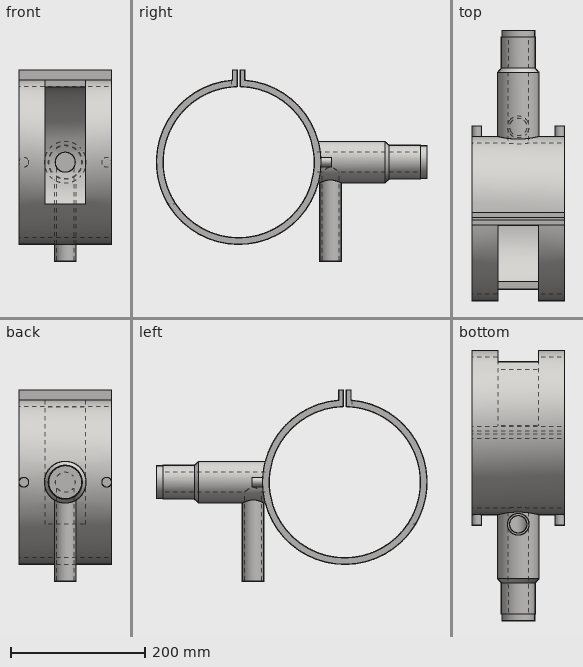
import cadquery as cq

band_width = 138.0
outer_radius = 122.5
wall = 10.0
inner_radius = outer_radius - wall

ear_top = 137.5
ear_thickness = 7.3
split_gap = 4.0
ear_outer_y = split_gap / 2 + ear_thickness

window_width = 59.7
window_bottom = -62.5
window_ledge = 1.2
window_start_y = -(ear_outer_y + window_ledge)

peg_diameter = 14.5
peg_end_y = 138.5
peg_x = (band_width - peg_diameter) / 2

overall_length = 403.5
nozzle_end_y = overall_length - outer_radius
nozzle_radius = 31.0
neck_radius = 25.5
neck_length = 56.5
cap_radius = 24.5
cap_length = 10.0
cap_start_y = nozzle_end_y - cap_length
taper_length = 6.5
port_radius = 15.0
branch_radius = 16.0
branch_bore_radius = 13.0
branch_y = 136.8
branch_bottom = -147.5


def x_cylinder(radius):
    """Cylinder about the X axis, as long as the band is wide."""
    cylinder = cq.Workplane("YZ").circle(radius).extrude(band_width / 2, both=True)
    return cylinder.rotate((0, 0, 0), (1, 0, 0), 90)


def y_cylinder(radius, end_y, x=0):
    """Cylinder running along Y from the band axis to end_y."""
    return cq.Workplane("XZ").center(x, 0).circle(radius).extrude(-end_y)


def branch_cylinder(radius):
    """Vertical cylinder from the foot of the branch up to the nozzle axis."""
    foot = cq.Workplane("XY", origin=(0, branch_y, branch_bottom))
    return foot.circle(radius).extrude(-branch_bottom)


def make_band():
    """Split band with its ears, pegs and window, before the port is bored."""
    ears = cq.Workplane("XY").box(
        band_width, 2 * ear_outer_y, ear_top, centered=(True, True, False)
    )
    body = x_cylinder(outer_radius).union(ears)
    for x in (-peg_x, peg_x):
        body = body.union(y_cylinder(peg_diameter / 2, peg_end_y, x))
    body = body.cut(x_cylinder(inner_radius))

    split = cq.Workplane("XY").box(
        band_width, split_gap, ear_top, centered=(True, True, False)
    )
    window = cq.Workplane("XY", origin=(0, window_start_y - outer_radius, window_bottom)).box(
        window_width,
        outer_radius,
        outer_radius - window_bottom,
        centered=(True, False, False),
    )
    return body.cut(split).cut(window)


def make_nozzle():
    """Solid nozzle and branch, before boring."""
    neck_start = nozzle_end_y - neck_length
    profile = [
        (0, 0),
        (nozzle_radius, 0),
        (nozzle_radius, neck_start - taper_length),
        (neck_radius, neck_start),
        (neck_radius, cap_start_y),
        (0, cap_start_y),
    ]
    barrel = cq.Workplane("XY").polyline(profile).close().revolve(360, (0, 0), (0, 1))
    return barrel.union(branch_cylinder(branch_radius)).cut(x_cylinder(inner_radius + wall / 2))


def make_clamp():
    """Band and nozzle in one piece, with the nozzle and branch bored hollow."""
    port = y_cylinder(port_radius, cap_start_y)
    bore = port.union(branch_cylinder(branch_bore_radius))
    return make_band().union(make_nozzle()).cut(bore)


def make_cap():
    """Plain disc that closes the outer end of the nozzle."""
    seat = cq.Workplane("XZ", origin=(0, cap_start_y, 0))
    return seat.circle(cap_radius).extrude(-cap_length)


clamp = make_clamp()
cap = make_cap()
result = cq.Compound.makeCompound([clamp.val(), cap.val()])